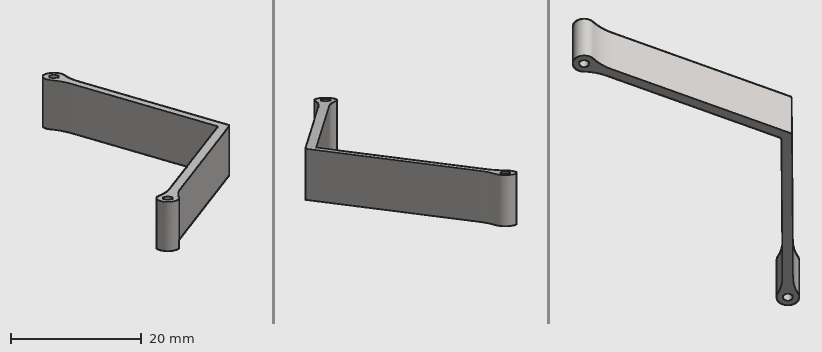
import cadquery as cq
import math

length = 62.5
height = 8.0
eye_diameter = 3.5
hole_diameter = 1.5
arm_thickness = 1.6
arm_angle = 31.5
neck_radius = 8.0
bend_radius = 0.55

eye_radius = eye_diameter / 2
half_arm = arm_thickness / 2
eye_x = length / 2 - eye_radius
slope = math.radians(arm_angle)
half_arm_rise = half_arm / math.cos(slope)
bend_y = eye_x * math.tan(slope)

blend_across = half_arm + neck_radius
blend_along = math.sqrt((eye_radius + neck_radius) ** 2 - blend_across ** 2)
eye_share = eye_radius / (eye_radius + neck_radius)
eye_tangent = (blend_along * eye_share, blend_across * eye_share)
blend_angle = math.atan2(blend_across, blend_along)
middle_angle = (blend_angle + math.pi / 2) / 2
neck_middle = (
    blend_along - neck_radius * math.cos(middle_angle),
    blend_across - neck_radius * math.sin(middle_angle),
)


def mirrored(point):
    """Reflect a point across the arm centreline."""
    return (point[0], -point[1])


def bent_strip():
    """Both straight arms, joined at a bend with rounded corners."""
    start_x = eye_x - blend_along * math.cos(slope)
    start_y = bend_y - start_x * math.tan(slope)
    shift_x = half_arm * math.sin(slope)
    shift_y = half_arm * math.cos(slope)
    strip = (
        cq.Workplane("XY")
        .moveTo(-start_x - shift_x, start_y + shift_y)
        .lineTo(0, bend_y + half_arm_rise)
        .lineTo(start_x + shift_x, start_y + shift_y)
        .lineTo(start_x - shift_x, start_y - shift_y)
        .lineTo(0, bend_y - half_arm_rise)
        .lineTo(-start_x + shift_x, start_y - shift_y)
        .close()
        .extrude(height)
    )
    bend_edges = cq.selectors.BoxSelector(
        (-half_arm, bend_y - arm_thickness, 0), (half_arm, bend_y + arm_thickness, height)
    )
    return strip.edges("|Z").edges(bend_edges).fillet(bend_radius)


def left_eye():
    """Round eye with its flared neck, placed at the end of the left arm."""
    eye = (
        cq.Workplane("XY")
        .moveTo(blend_along, half_arm)
        .threePointArc(neck_middle, eye_tangent)
        .threePointArc((-eye_radius, 0), mirrored(eye_tangent))
        .threePointArc(mirrored(neck_middle), (blend_along, -half_arm))
        .close()
        .extrude(height)
    )
    return eye.rotate((0, 0, 0), (0, 0, 1), arm_angle).translate((-eye_x, 0, 0))


eye = left_eye()
body = bent_strip().union(eye).union(eye.mirror("YZ"))

hole_centres = [(-eye_x, 0), (eye_x, 0)]
holes = cq.Workplane("XY").pushPoints(hole_centres).circle(hole_diameter / 2).extrude(height)
result = body.cut(holes)